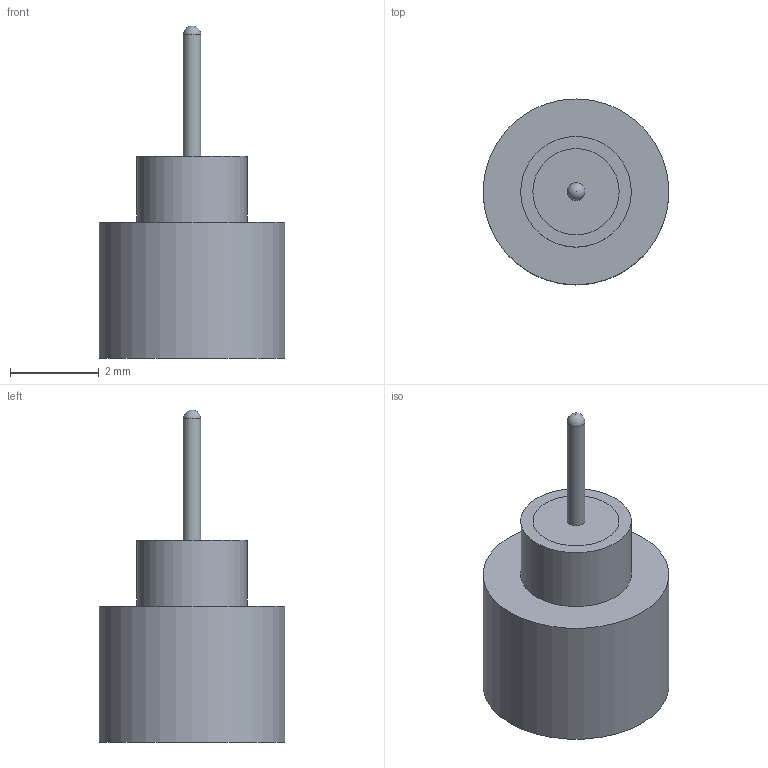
import cadquery as cq

total_height = 7.5
body_diameter = 4.2
body_height = 3.07
collar_diameter = 2.5
collar_height = 1.49
insulator_diameter = 1.95
pin_diameter = 0.4

collar_top = body_height + collar_height
pin_radius = pin_diameter / 2


def cylinder(diameter, bottom, top):
    """Upright cylinder on the Z axis between two heights."""
    return cq.Workplane("XY").workplane(offset=bottom).circle(diameter / 2).extrude(top - bottom)


def make_shell():
    """Stepped housing, bored through the collar to seat the insulator."""
    body = cylinder(body_diameter, 0, body_height)
    collar = cylinder(collar_diameter, body_height, collar_top)
    seat = cylinder(insulator_diameter, body_height, collar_top)
    return body.union(collar).cut(seat)


def make_insulator():
    """Disc filling the collar bore, flush with the collar top."""
    return cylinder(insulator_diameter, body_height, collar_top)


def make_pin():
    """Round contact pin with a hemispherical tip."""
    shank_top = total_height - pin_radius
    shank = cylinder(pin_diameter, body_height, shank_top)
    tip = cq.Workplane("XY").sphere(pin_radius).translate((0, 0, shank_top))
    return shank.union(tip)


result = make_shell().union(make_insulator(), clean=False).union(make_pin(), clean=False)